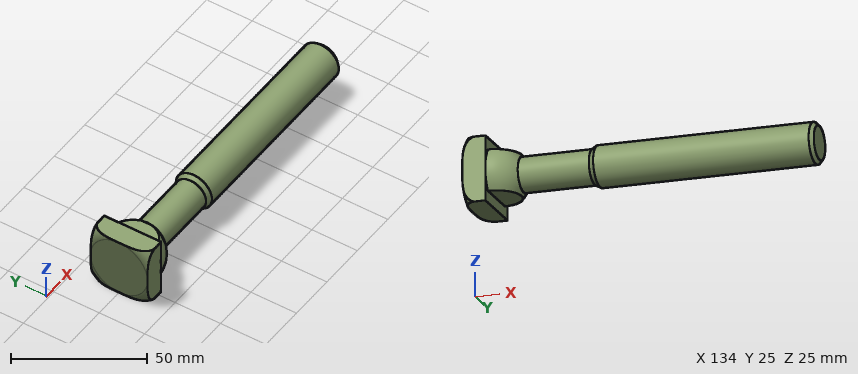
import cadquery as cq
import math

length = 134.0
head_width = 25.0
head_thickness = 9.0
thread_diameter = 16.0
neck_diameter = 13.5

shoulder_start = 47.0
shoulder_angle = 30.0
tip_chamfer = 1.5

neck_radius = neck_diameter / 2
thread_radius = thread_diameter / 2
shoulder_length = (thread_radius - neck_radius) / math.tan(math.radians(shoulder_angle))


def revolve_about_x(points):
    """Revolve an outline of (x, radius) points into a solid around the X axis."""
    return cq.Workplane("XY").polyline(points).close().revolve(360, (0, 0, 0), (1, 0, 0))


def make_head():
    """Square head whose outer corners are rounded over by a disc with a filleted rim.

    The disc passes through the corners, and the fillet brings its flat face down to
    the circle inscribed in the square.
    """
    block = cq.Workplane("XY").box(
        head_thickness, head_width, head_width, centered=(False, True, True)
    )
    inscribed_radius = head_width / 2
    corner_radius = inscribed_radius * math.sqrt(2)
    rounding_radius = corner_radius - inscribed_radius
    disc = cq.Workplane("YZ").circle(corner_radius).extrude(head_thickness)
    rounded_disc = disc.faces("<X").edges().fillet(rounding_radius)
    return block.intersect(rounded_disc)


def make_collar():
    """Half ball behind the head, cut flat above and below to the thread diameter."""
    radius = head_width / 2
    ball = cq.Workplane("XY").sphere(radius).translate((head_thickness, 0, 0))
    slab = cq.Workplane("XY").box(
        radius, head_width, thread_diameter, centered=(False, True, True)
    )
    return ball.intersect(slab.translate((head_thickness, 0, 0)))


def make_shank():
    """Reduced neck, conical shoulder and thread-diameter rod with a chamfered tip."""
    return revolve_about_x(
        [
            (head_thickness, 0),
            (head_thickness, neck_radius),
            (shoulder_start, neck_radius),
            (shoulder_start + shoulder_length, thread_radius),
            (length - tip_chamfer, thread_radius),
            (length, thread_radius - tip_chamfer),
            (length, 0),
        ]
    )


result = make_head().union(make_collar()).union(make_shank())